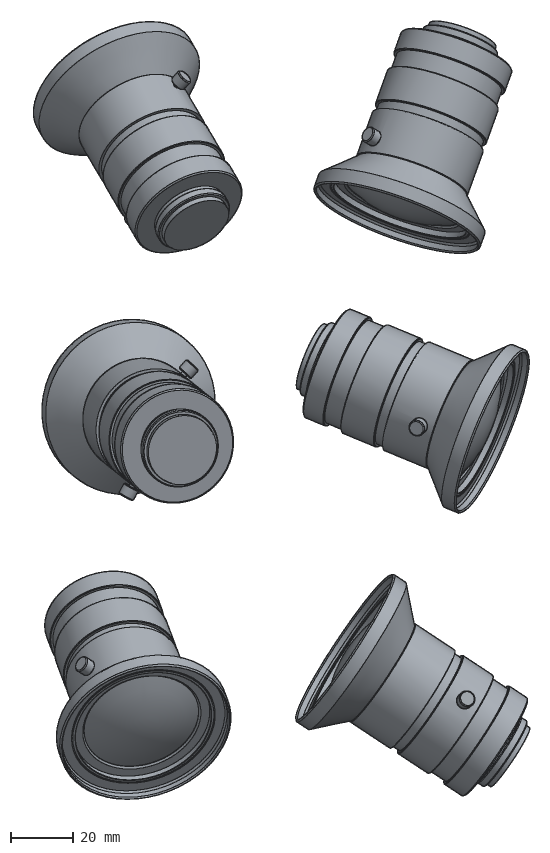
import cadquery as cq
import math

total_length = 64.6

flange_radius = 28.5
flange_length = 5.0
flange_chamfer = 0.5

barrel_radius = 19.0
groove_radius = 18.0
edge_break = 0.25
rear_chamfer = 0.45
barrel_front = flange_length + flange_radius - barrel_radius
barrel_end = 30.4
focus_ring_start = 33.4
focus_ring_end = 45.4
rear_ring_start = 51.4
rear_ring_end = 58.9

mount_neck_radius = 12.3
collar_radius = 12.7
collar_start = 60.1
collar_end = 62.85
collar_chamfer = 0.35
spigot_radius = 11.45

mouth_radius = 27.6
mouth_land_radius = 27.95
mouth_chamfer_depth = 0.5
mouth_depth = 2.35
recess_radius = 27.1
recess_depth = 3.1
groove_outer_radius = 23.9
groove_inner_radius = 23.5
face_groove_depth = 0.1
step_radius = 22.6
step_chamfer = 0.15
step_depth = 5.15
glass_seat_radius = 19.65
glass_radius = 19.05
glass_seat_depth = step_depth + glass_seat_radius - glass_radius
glass_gap = 0.2
glass_rim_depth = glass_seat_depth + glass_gap
glass_apex_depth = 1.4

head_radius = 2.65
head_chamfer = 0.35
head_base_chamfer = 0.25
head_clearance = 0.85
head_base = barrel_radius + head_clearance
head_tip = 23.65
screw_neck_radius = 1.0
screw_neck_root = groove_radius
barrel_screw_x = 19.4
barrel_screw_angle = 45
ring_screw_x = 40.0
ring_screw_angle = 210


def revolve_about_axis(profile):
    """Turn a closed (X, radius) profile once round the lens axis."""
    return profile.close().revolve(360, (0, 0, 0), (1, 0, 0))


def make_ring(start, end, radius, front_chamfer=0, rear_edge_chamfer=0):
    """Disc along X with optional chamfers at its front and rear edges."""
    ring = cq.Workplane("YZ", origin=(start, 0, 0)).circle(radius).extrude(end - start)
    if front_chamfer:
        ring = ring.faces("<X").chamfer(front_chamfer)
    if rear_edge_chamfer:
        ring = ring.faces(">X").chamfer(rear_edge_chamfer)
    return ring


def make_hood():
    """Flange and cone, ending in a small V groove where the barrel starts."""
    groove_x = barrel_front + edge_break
    profile = (
        cq.Workplane("XY")
        .moveTo(0, 0)
        .lineTo(0, flange_radius - flange_chamfer)
        .lineTo(flange_chamfer, flange_radius)
        .lineTo(flange_length, flange_radius)
        .lineTo(groove_x, barrel_radius - edge_break)
        .lineTo(groove_x, 0)
    )
    return revolve_about_axis(profile)


def make_barrel():
    """Barrel rings joined by the groove core."""
    front_ring = make_ring(barrel_front + edge_break, barrel_end, barrel_radius, edge_break)
    core = make_ring(barrel_front, rear_ring_end - rear_chamfer, groove_radius)
    focus_ring = make_ring(focus_ring_start, focus_ring_end, barrel_radius, edge_break, edge_break)
    rear_ring = make_ring(rear_ring_start, rear_ring_end, barrel_radius, edge_break, rear_chamfer)
    return core.union(front_ring).union(focus_ring).union(rear_ring)


def make_mount():
    """Neck, chamfered collar and spigot behind the barrel."""
    neck = make_ring(rear_ring_start, collar_start, mount_neck_radius)
    collar = make_ring(collar_start, collar_end, collar_radius, collar_chamfer, collar_chamfer)
    spigot = make_ring(rear_ring_start, total_length, spigot_radius)
    return neck.union(collar).union(spigot)


def make_front_recess():
    """Space in front of the glass, bounded at the back by its spherical dome."""
    glass_sag = glass_rim_depth - glass_apex_depth
    dome_radius = (glass_radius**2 + glass_sag**2) / (2 * glass_sag)
    half_angle = math.asin(glass_radius / dome_radius) / 2
    dome_middle = (
        glass_apex_depth + dome_radius * (1 - math.cos(half_angle)),
        dome_radius * math.sin(half_angle),
    )
    profile = (
        cq.Workplane("XY")
        .moveTo(0, 0)
        .lineTo(0, mouth_land_radius)
        .lineTo(mouth_chamfer_depth, mouth_radius)
        .lineTo(mouth_depth, mouth_radius)
        .lineTo(recess_depth, recess_radius)
        .lineTo(recess_depth, groove_outer_radius)
        .lineTo(recess_depth + face_groove_depth, groove_outer_radius)
        .lineTo(recess_depth + face_groove_depth, groove_inner_radius)
        .lineTo(recess_depth, groove_inner_radius)
        .lineTo(recess_depth, step_radius + step_chamfer)
        .lineTo(recess_depth + step_chamfer, step_radius)
        .lineTo(step_depth, step_radius)
        .lineTo(step_depth, glass_seat_radius)
        .lineTo(glass_seat_depth, glass_radius)
        .lineTo(glass_rim_depth, glass_radius)
        .threePointArc(dome_middle, (glass_apex_depth, 0))
    )
    return revolve_about_axis(profile)


def make_screw(x, angle):
    """Radial neck and chamfered head, turned by the angle from +Z towards +Y."""
    neck = (
        cq.Workplane("XY", origin=(x, 0, screw_neck_root))
        .circle(screw_neck_radius)
        .extrude(head_base - screw_neck_root)
    )
    head = (
        cq.Workplane("XY", origin=(x, 0, head_base))
        .circle(head_radius)
        .extrude(head_tip - head_base)
        .faces(">Z")
        .chamfer(head_chamfer)
        .faces("<Z")
        .chamfer(head_base_chamfer)
    )
    return neck.union(head).rotate((0, 0, 0), (1, 0, 0), -angle)


body = make_hood().union(make_barrel()).union(make_mount()).cut(make_front_recess())
barrel_screw = make_screw(barrel_screw_x, barrel_screw_angle)
ring_screw = make_screw(ring_screw_x, ring_screw_angle)
result = body.union(barrel_screw).union(ring_screw)